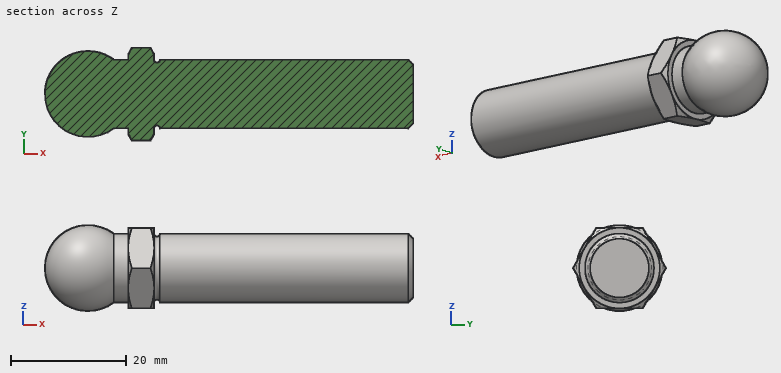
import cadquery as cq
import math

total_length = 64.0
ball_diameter = 15.0
stem_diameter = 12.0
hex_sides = 6
hex_across_flats = 14.0
hex_start = 7.0
hex_width = 4.5
hex_chamfer_angle = 30.0
groove_width = 1.0
tip_chamfer = 0.9

ball_radius = ball_diameter / 2
stem_radius = stem_diameter / 2
hex_end = hex_start + hex_width
hex_flat_radius = hex_across_flats / 2
hex_corner_radius = hex_flat_radius / math.cos(math.pi / hex_sides)
stem_end = total_length - ball_radius
groove_end = hex_end + groove_width
groove_arc_radius = groove_width / 2
groove_floor = (hex_end + groove_arc_radius, stem_radius - groove_arc_radius)
neck_start = math.sqrt(ball_radius**2 - stem_radius**2)


def revolve_about_x(profile):
    """Turn a closed XY profile a full revolution about the X axis."""
    return profile.close().revolve(360, (0, 0, 0), (1, 0, 0))


def turned_body():
    """Ball, neck, half-round relief groove and stem with a chamfered tip, as one turned profile."""
    profile = (
        cq.Workplane("XY")
        .moveTo(-ball_radius, 0)
        .threePointArc((0, ball_radius), (neck_start, stem_radius))
        .lineTo(hex_end, stem_radius)
        .threePointArc(groove_floor, (groove_end, stem_radius))
        .lineTo(stem_end - tip_chamfer, stem_radius)
        .lineTo(stem_end, stem_radius - tip_chamfer)
        .lineTo(stem_end, 0)
    )
    return revolve_about_x(profile)


def hex_collar():
    """Hexagon with corners on the Y axis, its corners bevelled conically at both ends."""
    prism = (
        cq.Workplane("YZ", origin=(hex_start, 0, 0))
        .polygon(hex_sides, 2 * hex_corner_radius)
        .extrude(hex_width)
    )
    bevel_rise = hex_corner_radius - hex_flat_radius
    bevel_length = bevel_rise * math.tan(math.radians(hex_chamfer_angle))
    envelope = revolve_about_x(
        cq.Workplane("XY")
        .moveTo(hex_start, 0)
        .lineTo(hex_start, hex_flat_radius)
        .lineTo(hex_start + bevel_length, hex_corner_radius)
        .lineTo(hex_end - bevel_length, hex_corner_radius)
        .lineTo(hex_end, hex_flat_radius)
        .lineTo(hex_end, 0)
    )
    return prism.intersect(envelope)


result = turned_body().union(hex_collar())